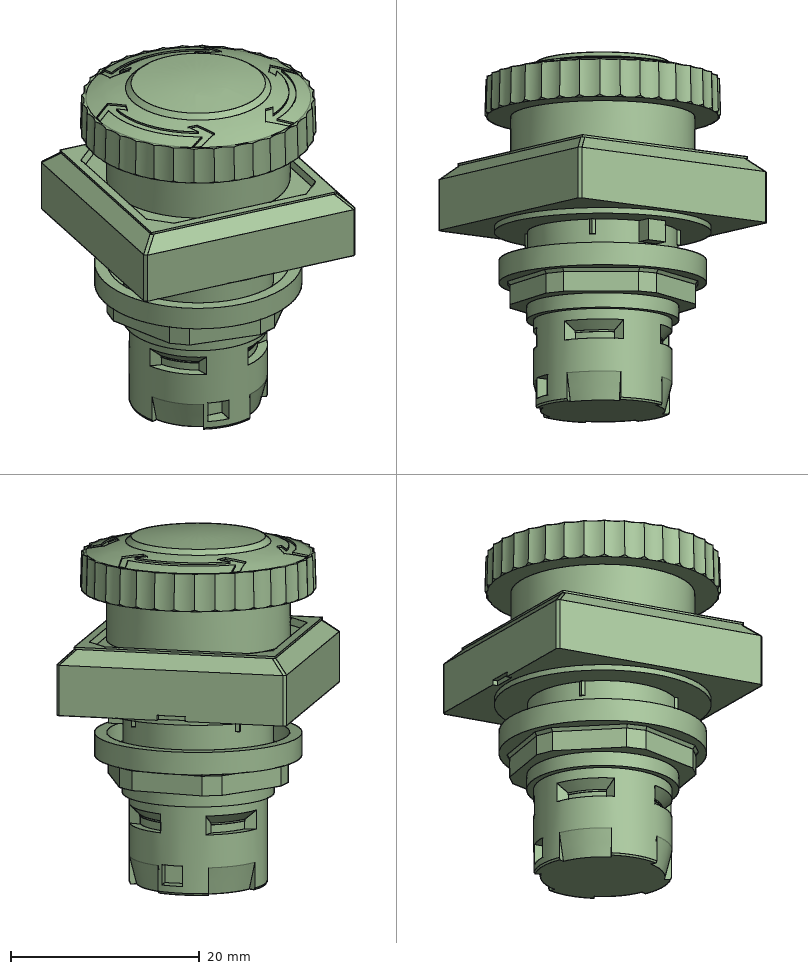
import cadquery as cq
import math

shoulder_z = 9.75
nut_bottom_z = 11.3
nut_flare_z = 13.4
washer_bottom_z = 13.8
washer_top_z = 16.2
gasket_bottom_z = 19.25
bezel_bottom_z = 19.85
bezel_slope_z = 25.3
bezel_lip_z = 26.8
bezel_top_z = 27.0
cap_bottom_z = 31.65
cap_rim_z = 35.72
button_base_z = 36.85
button_rim_z = 37.4
total_height = 37.88

barrel_diameter = 14.7
collar_diameter = 16.15
washer_diameter = 22.0
neck_diameter = 16.0
gasket_diameter = 23.0
stem_diameter = 19.5
button_diameter = 15.4
button_rim_diameter = 14.25
barrel_radius = barrel_diameter / 2

clearance = 0.38
outside = barrel_radius + clearance


base_chamfer_height = 0.23
base_chamfer_run = 0.1
diagonals = (45, 135, 225, 315)
relief_mouth = (6.78, 2.88)
relief_back = (6.02, 2.6)
relief_height = 3.0
relief_bottom_radius = 6.6
latch_width = 2.3
latch_bottom_z = 0.95
latch_top_z = 3.15
latch_depth = 1.7

window_floor_z = 6.55
window_top_z = 8.6
window_back_radius = 6.35
window_back_top_z = 7.6
window_mouth = (6.63, 3.15)
window_back = (6.0, 2.1)
throat_radius = 6.3
throat_top_z = 7.42

washer_bore = 19.4
washer_web = 0.38

nut_corner_radius = 9.9
nut_flare_radius = 10.15
nut_turn = 21.9
nut_corner_half_angle = 6.3

corner_block_side = 11.75
corner_block_bottom_z = 17.65
key_width = 2.27
key_reach = 9.5
key_bottom_z = 16.97

bezel_side = 25.0
bezel_corner_cut = 0.3
bezel_top_side = 21.9
recess_side = 20.0
recess_corner_cut = 2.2
recess_depth = 0.72
recess_wall_run = 0.23
notch_width = 3.03
notch_height = 0.53
notch_depth = 0.55

cap_radius = bezel_side / 2
cap_top_radius = 12.4
cap_bottom_chamfer = 0.23
dome_radius = 11.95
dome_mid_radius = 9.85
dome_mid_z = 36.35
flute_count = 36
flute_turn = 6.5
flute_depth = 0.23

arrow_count = 3
arrow_turn = 61.5
arrow_depth = 0.2
arrow_tip = (9.95, 42.2)
shaft_outer_radius = 10.38
shaft_inner_radius = 9.62
shaft_outer_end = 34.2
shaft_inner_end = 32.3
outer_barb = ((11.8, 33.7), (11.85, 29.0))
inner_barb = ((8.55, 31.4), (8.9, 25.2))


def polar(radius, degrees):
    angle = math.radians(degrees)
    return radius * math.cos(angle), radius * math.sin(angle)


def disc(diameter, bottom, top):
    return cq.Workplane("XY").workplane(offset=bottom).circle(diameter / 2).extrude(top - bottom)


def block(x_range, y_range, z_range):
    """Box spanning the given low and high limits."""
    ranges = (x_range, y_range, z_range)
    sizes = [high - low for low, high in ranges]
    return cq.Workplane("XY").box(*sizes, centered=False).translate(tuple(low for low, high in ranges))


def revolved(points):
    """Solid of revolution about Z from (radius, z) points."""
    return cq.Workplane("XZ").polyline(points).close().revolve(360, (0, 0, 0), (0, 1, 0))


def at_angles(shape, angles):
    """Copies of a shape turned about Z, as one cutting or joining body."""
    copies = cq.Workplane("XY")
    for angle in angles:
        copies = copies.add(shape.rotate((0, 0, 0), (0, 0, 1), angle))
    return copies.combine()


def cut_corner_square(side, corner):
    """Corner points of a square with bevelled corners."""
    half = side / 2
    inner = half - corner
    return [(half, -inner), (half, inner), (inner, half), (-inner, half),
            (-half, inner), (-half, -inner), (-inner, -half), (inner, -half)]


def loft_between(lower_points, lower_z, upper_points, upper_z):
    return (cq.Workplane("XY").workplane(offset=lower_z).polyline(lower_points).close()
            .workplane(offset=upper_z - lower_z).polyline(upper_points).close().loft(ruled=True))


def drafted_sector(mouth, back, bottom, top):
    """Wedge along +X whose side walls close in from the mouth towards the back."""
    slope = (mouth[1] - back[1]) / (mouth[0] - back[0])
    outside_half = mouth[1] + slope * (outside - mouth[0])
    outline = [back, (outside, outside_half), (outside, -outside_half), (back[0], -back[1]),
               (0, -back[1]), (0, back[1])]
    return cq.Workplane("XY").workplane(offset=bottom).polyline(outline).close().extrude(top - bottom)


def barrel_reliefs():
    """Conical flats on the four diagonals, deepest at the bottom end."""
    ring = revolved([(relief_bottom_radius, 0), (outside, 0), (outside, relief_height),
                     (barrel_radius, relief_height)])
    sector = drafted_sector(relief_mouth, relief_back, 0, relief_height)
    return at_angles(ring.intersect(sector), diagonals)


def barrel_windows():
    """Tapered pockets on the four diagonals, each with a lower, deeper throat."""
    roof_slope = (window_top_z - window_back_top_z) / (barrel_radius - window_back_radius)
    outside_top_z = window_top_z + roof_slope * (outside - barrel_radius)
    ring = revolved([(throat_radius, window_floor_z), (outside, window_floor_z),
                     (outside, outside_top_z), (window_back_radius, window_back_top_z),
                     (window_back_radius, throat_top_z), (throat_radius, throat_top_z)])
    sector = drafted_sector(window_mouth, window_back, window_floor_z, outside_top_z)
    return at_angles(ring.intersect(sector), diagonals)


def make_barrel():
    barrel = revolved([(0, 0), (barrel_radius - base_chamfer_run, 0), (barrel_radius, base_chamfer_height),
                       (barrel_radius, shoulder_z), (0, shoulder_z)])
    barrel = barrel.cut(barrel_reliefs()).cut(barrel_windows())
    latch_pocket = block((-outside, latch_depth - barrel_radius), (0, latch_width),
                         (latch_bottom_z, latch_top_z))
    barrel = barrel.cut(at_angles(latch_pocket, (0, 180)))
    return barrel.union(disc(collar_diameter, shoulder_z, nut_bottom_z))


def nut_outline(corner_radius):
    """Hexagon with flattened corners, turned about the axis."""
    return [polar(corner_radius, nut_turn + 60 * corner + side * nut_corner_half_angle)
            for corner in range(6) for side in (-1, 1)]


def make_nut():
    hexagon = nut_outline(nut_corner_radius)
    nut = (cq.Workplane("XY").workplane(offset=nut_bottom_z).polyline(hexagon).close()
           .extrude(nut_flare_z - nut_bottom_z))
    flare = loft_between(hexagon, nut_flare_z, nut_outline(nut_flare_radius), washer_bottom_z)
    return nut.union(flare)


def make_washer():
    """Ring with an open well around the neck and a thin web at the bottom."""
    well = disc(washer_bore, washer_bottom_z + washer_web, washer_top_z)
    return disc(washer_diameter, washer_bottom_z, washer_top_z).cut(well)


def make_neck():
    neck = disc(neck_diameter, washer_bottom_z, gasket_bottom_z)
    half = corner_block_side / 2
    corners = block((-half, half), (-half, half), (corner_block_bottom_z, gasket_bottom_z))
    key = block((-key_width / 2, key_width / 2), (0, key_reach), (key_bottom_z, gasket_bottom_z))
    return neck.union(corners).union(key)


def make_bezel():
    outline = cut_corner_square(bezel_side, bezel_corner_cut)
    top_outline = cut_corner_square(bezel_top_side, bezel_corner_cut)
    bezel = (cq.Workplane("XY").workplane(offset=bezel_bottom_z).polyline(outline).close()
             .extrude(bezel_slope_z - bezel_bottom_z))
    bezel = bezel.union(loft_between(outline, bezel_slope_z, top_outline, bezel_lip_z))
    lip = (cq.Workplane("XY").workplane(offset=bezel_lip_z).rect(bezel_top_side, bezel_top_side)
           .extrude(bezel_top_z - bezel_lip_z))
    floor_side = recess_side - 2 * recess_wall_run
    recess = loft_between(cut_corner_square(floor_side, recess_corner_cut), bezel_top_z - recess_depth,
                          cut_corner_square(recess_side, recess_corner_cut), bezel_top_z)
    notch = block((-bezel_side / 2, notch_depth - bezel_side / 2), (-notch_width / 2, notch_width / 2),
                  (bezel_bottom_z, bezel_bottom_z + notch_height))
    return bezel.union(lip).cut(recess).cut(notch)


def cap_flutes():
    """Shallow round grooves, leaning with the rim, that meet in sharp ridges."""
    half_pitch = math.radians(180 / flute_count)
    half_chord = cap_radius * math.sin(half_pitch)
    chord_distance = cap_radius * math.cos(half_pitch)
    groove_radius = (half_chord ** 2 + flute_depth ** 2) / (2 * flute_depth)
    groove_center = chord_distance - flute_depth + groove_radius
    rim_height = cap_rim_z - cap_bottom_z
    lean = math.degrees(math.atan2(cap_radius - cap_top_radius, rim_height))
    groove = disc(2 * groove_radius, cap_bottom_z - clearance, cap_rim_z + clearance)
    groove = groove.translate((groove_center, 0, 0))
    groove = groove.rotate((cap_radius, 0, cap_bottom_z), (cap_radius, 1, cap_bottom_z), -lean)
    return [groove.rotate((0, 0, 0), (0, 0, 1), flute_turn + 360 / flute_count * i)
            for i in range(flute_count)]


def arrow_outline():
    """Double-headed curved arrow centred on the +X direction."""
    def head(side):
        points = [(shaft_outer_radius, shaft_outer_end), outer_barb[1], outer_barb[0], arrow_tip,
                  inner_barb[0], inner_barb[1], (shaft_inner_radius, shaft_inner_end)]
        return [polar(radius, side * angle) for radius, angle in points]

    left = head(1)
    right = head(-1)
    outline = cq.Workplane("XY").workplane(offset=cap_rim_z - clearance).moveTo(*left[0])
    for point in left[1:]:
        outline = outline.lineTo(*point)
    outline = outline.threePointArc((shaft_inner_radius, 0), right[-1])
    for point in reversed(right[:-1]):
        outline = outline.lineTo(*point)
    return outline.threePointArc((shaft_outer_radius, 0), left[0]).close()


def dome_skin():
    """Thin layer just under the domed ring that carries the arrows."""
    button_radius = button_diameter / 2
    return (cq.Workplane("XZ").moveTo(button_radius, button_base_z)
            .threePointArc((dome_mid_radius, dome_mid_z), (dome_radius, cap_rim_z))
            .lineTo(dome_radius, cap_rim_z - arrow_depth)
            .threePointArc((dome_mid_radius, dome_mid_z - arrow_depth),
                           (button_radius, button_base_z - arrow_depth))
            .close().revolve(360, (0, 0, 0), (0, 1, 0)))


def make_cap():
    rim = revolved([(0, cap_bottom_z), (cap_radius - cap_bottom_chamfer, cap_bottom_z),
                    (cap_radius, cap_bottom_z + cap_bottom_chamfer), (cap_top_radius, cap_rim_z),
                    (0, cap_rim_z)])
    for groove in cap_flutes():
        rim = rim.cut(groove)
    button_rise = total_height - button_rim_z
    rim_radius = button_rim_diameter / 2
    crown_sphere = (rim_radius ** 2 + button_rise ** 2) / (2 * button_rise)
    mid_radius = rim_radius / 2
    mid_z = total_height - crown_sphere + math.sqrt(crown_sphere ** 2 - mid_radius ** 2)
    dome = (cq.Workplane("XZ").moveTo(0, cap_rim_z).lineTo(dome_radius, cap_rim_z)
            .threePointArc((dome_mid_radius, dome_mid_z), (button_diameter / 2, button_base_z))
            .lineTo(rim_radius, button_rim_z)
            .threePointArc((mid_radius, mid_z), (0, total_height))
            .close().revolve(360, (0, 0, 0), (0, 1, 0)))
    arrow = arrow_outline().extrude(total_height - cap_rim_z).intersect(dome_skin())
    cap = rim.union(dome)
    for i in range(arrow_count):
        cap = cap.cut(arrow.rotate((0, 0, 0), (0, 0, 1), arrow_turn + 360 / arrow_count * i))
    return cap


result = make_barrel()
result = result.union(make_nut())
result = result.union(make_washer())
result = result.union(make_neck())
result = result.union(disc(gasket_diameter, gasket_bottom_z, bezel_bottom_z))
result = result.union(make_bezel())
result = result.union(disc(stem_diameter, bezel_top_z - recess_depth, cap_bottom_z))
result = result.union(make_cap())